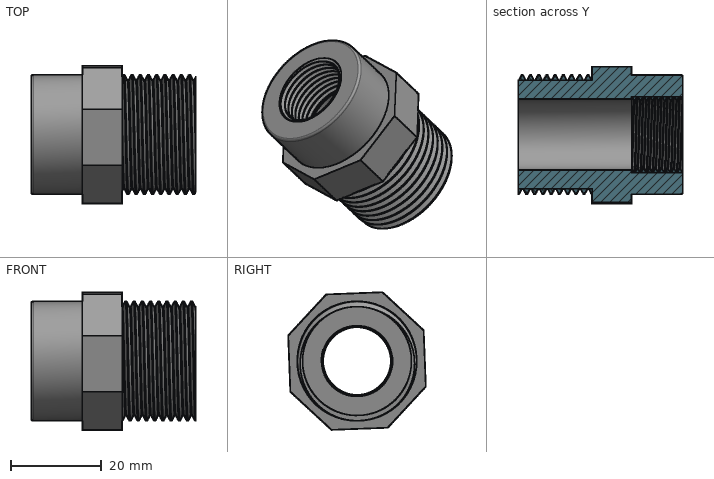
import cadquery as cq
import math

total_length = 36.4
collar_length = 11.35
male_thread_length = 16.3
nut_end = total_length - male_thread_length
female_thread_length = collar_length

collar_diameter = 26.44
collar_edge_radius = 0.5
nut_sides = 8
nut_across_flats = 30.0
nut_turn = 2.22
plain_bore_diameter = 15.66

male_major_diameter = collar_diameter
male_root_diameter = 24.07
male_pitch = 1.814
first_crest_setback = 0.84
male_crest_at_top = nut_end + first_crest_setback

female_major_diameter = 16.66
female_minor_diameter = 14.95
female_pitch = 1.337
female_crest_at_top = 0.0

thread_flank_angle = 27.5
extra_turns = 3
flats_per_side = 2


def cylinder(diameter, start, end):
    return cq.Workplane("YZ", origin=(start, 0, 0)).circle(diameter / 2).extrude(end - start)


def ridge_outline(pitch, crest_radius, root_radius):
    """Whitworth ridge section as (radius, axial offset) corners, its round crest made of narrow flats."""
    flank = math.radians(thread_flank_angle)
    outward = math.copysign(1, crest_radius - root_radius)
    depth = abs(crest_radius - root_radius)

    sharp_height = pitch / 2 / math.tan(flank)
    rounding = (sharp_height - depth) / 2 / (1 / math.sin(flank) - 1)

    tangent_angle = math.pi / 2 - flank
    side = []
    for i in range(flats_per_side + 1):
        angle = tangent_angle * i / flats_per_side
        drop = rounding * (1 - math.cos(angle))
        side.append((crest_radius - outward * drop, rounding * math.sin(angle)))
    root_half = rounding * math.cos(flank) + (depth - drop) * math.tan(flank)
    side.append((root_radius, root_half))

    mirrored_side = [(radius, -offset) for radius, offset in reversed(side[1:])]
    return mirrored_side + side


def thread(pitch, crest_diameter, root_diameter, crest_at_top, start, end):
    """A right-hand helical ridge, cut square at its start and end."""
    outline = ridge_outline(pitch, crest_diameter / 2, root_diameter / 2)

    turns = math.ceil((end - start) / pitch) + extra_turns
    length = pitch * turns
    edges = [cq.Wire.makeHelix(pitch, length, r).translate(cq.Vector(0, 0, z)) for r, z in outline]
    faces = [cq.Face.makeRuledSurface(edges[i - 1], edges[i]) for i in range(len(edges))]
    for lift in (0, length):
        section = cq.Wire.makePolygon([cq.Vector(r, 0, z + lift) for r, z in outline], close=True)
        faces.append(cq.Face.makeFromWires(section))
    ridge = cq.Workplane(cq.Solid.makeSolid(cq.Shell.makeShell(faces)))

    ridge = ridge.rotate((0, 0, 0), (0, 1, 0), 90).rotate((0, 0, 0), (1, 0, 0), 180)
    turns_before_start = math.ceil((crest_at_top - start) / pitch) + 1
    ridge = ridge.translate((crest_at_top - turns_before_start * pitch, 0, 0))
    return ridge.intersect(cylinder(2 * max(crest_diameter, root_diameter), start, end))


def make_housing():
    collar = cylinder(collar_diameter, 0, nut_end).faces("<X").edges().fillet(collar_edge_radius)
    nut = (
        cq.Workplane("YZ", origin=(collar_length, 0, 0))
        .polygon(nut_sides, nut_across_flats, circumscribed=True)
        .extrude(nut_end - collar_length)
        .rotate((0, 0, 0), (1, 0, 0), nut_turn)
    )
    thread_core = cylinder(male_root_diameter, nut_end, total_length)
    body = collar.union(nut).union(thread_core)
    body = body.cut(cylinder(plain_bore_diameter, 0, total_length))
    return body.cut(cylinder(female_major_diameter, 0, female_thread_length))


housing = make_housing()
male_thread = thread(
    male_pitch, male_major_diameter, male_root_diameter, male_crest_at_top, nut_end, total_length
)
female_thread = thread(
    female_pitch, female_minor_diameter, female_major_diameter, female_crest_at_top, 0, female_thread_length
)

bodies = [housing, male_thread, female_thread]
result = cq.Compound.makeCompound([body.solids().val() for body in bodies])